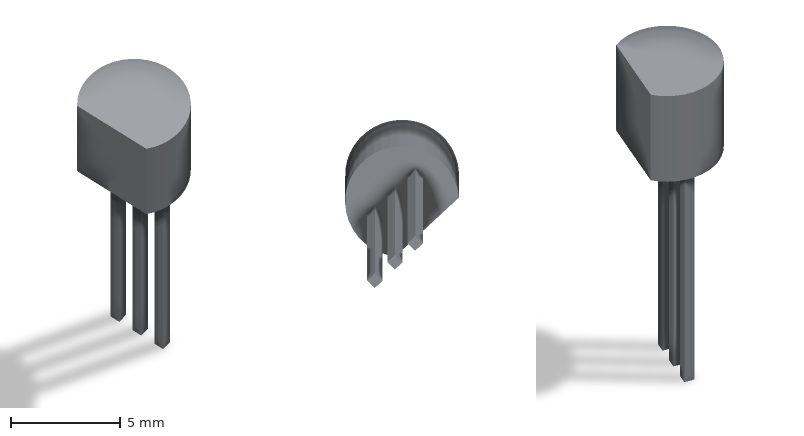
import cadquery as cq
import math

total_height = 17.7
body_width = 5.2
body_depth = 4.27
body_height = 5.0

facet_count = 40

lead_count = 3
lead_pitch = 1.27
lead_side = 0.5

apothem = body_width / 2
polygon_diameter = body_width / math.cos(math.pi / facet_count)
flat_y = apothem - body_depth
lead_y = apothem - body_depth / 2
lead_length = total_height - body_height


def make_body():
    """Faceted cylinder with its -Y side cut to a flat face."""
    half_step = 180 / facet_count
    prism = (
        cq.Workplane("XY")
        .polygon(facet_count, polygon_diameter)
        .extrude(body_height)
        .rotate((0, 0, 0), (0, 0, 1), half_step)
    )
    kept_side = (
        cq.Workplane("XY")
        .center(0, flat_y + body_depth / 2)
        .rect(body_width, body_depth)
        .extrude(body_height)
    )
    return prism.intersect(kept_side)


def make_leads():
    """Row of square leads hanging below the body, centred in its depth."""
    return (
        cq.Workplane("XY")
        .center(0, lead_y)
        .rarray(lead_pitch, 0.18, lead_count, 1)
        .rect(lead_side, lead_side)
        .extrude(-lead_length)
    )


result = make_body().union(make_leads())